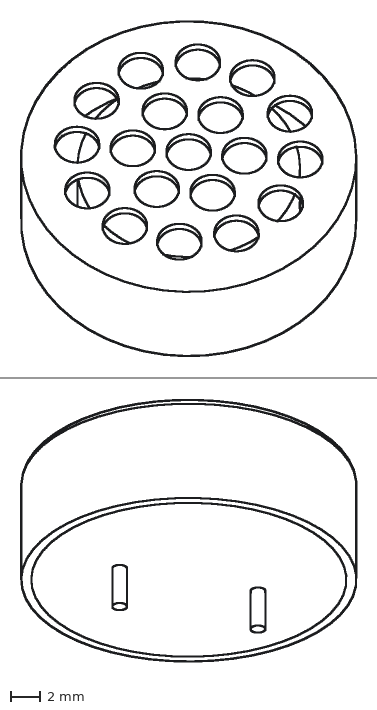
import cadquery as cq

housing_diameter = 23.0
overall_height = 8.0
wall = 0.7
bore_diameter = housing_diameter - 2 * wall

lid_thickness = 0.6
rim_inset = 0.75
housing_height = overall_height - lid_thickness

hole_diameter = 3.05
inner_ring_radius = 3.85
inner_ring_count = 6
outer_ring_radius = 2 * inner_ring_radius
outer_ring_count = 12
first_hole_angle = 90

base_thickness = 1.2

core_diameter = 15.27
core_top_depth = 1.8
core_height = overall_height - core_top_depth - base_thickness

pin_diameter = 1.01
pin_length = 3.0
pin_spacing = 10.0


def make_housing():
    return (
        cq.Workplane("XY")
        .circle(housing_diameter / 2)
        .circle(bore_diameter / 2)
        .extrude(housing_height)
    )


def make_lid():
    lid_radius = housing_diameter / 2
    plate = (
        cq.Workplane("XZ")
        .moveTo(0, housing_height)
        .lineTo(lid_radius, housing_height)
        .ellipseArc(rim_inset, lid_thickness, 0, 90, startAtCurrent=True)
        .lineTo(0, overall_height)
        .close()
        .revolve(360, (0, 0, 0), (0, 1, 0))
    )
    return plate.cut(make_sound_holes())


def make_sound_holes():
    underside = cq.Workplane("XY").workplane(offset=housing_height)
    holes = underside.circle(hole_diameter / 2).extrude(lid_thickness)
    rings = [(inner_ring_radius, inner_ring_count), (outer_ring_radius, outer_ring_count)]
    for ring_radius, count in rings:
        ring = underside.polarArray(ring_radius, first_hole_angle, 360, count)
        holes = holes.union(ring.circle(hole_diameter / 2).extrude(lid_thickness))
    return holes


def make_base_plate():
    return cq.Workplane("XY").circle(bore_diameter / 2).extrude(base_thickness)


def make_core():
    return (
        cq.Workplane("XY")
        .workplane(offset=base_thickness)
        .circle(core_diameter / 2)
        .extrude(core_height)
    )


def make_pin(x):
    return cq.Workplane("XY").center(x, 0).circle(pin_diameter / 2).extrude(-pin_length)


housing = make_housing()
lid = make_lid()
base_plate = make_base_plate()
core = make_core()
pins = [make_pin(side * pin_spacing / 2) for side in (-1, 1)]

result = cq.Compound.makeCompound(
    [housing.val(), lid.val(), base_plate.val(), core.val(), *[pin.val() for pin in pins]]
)